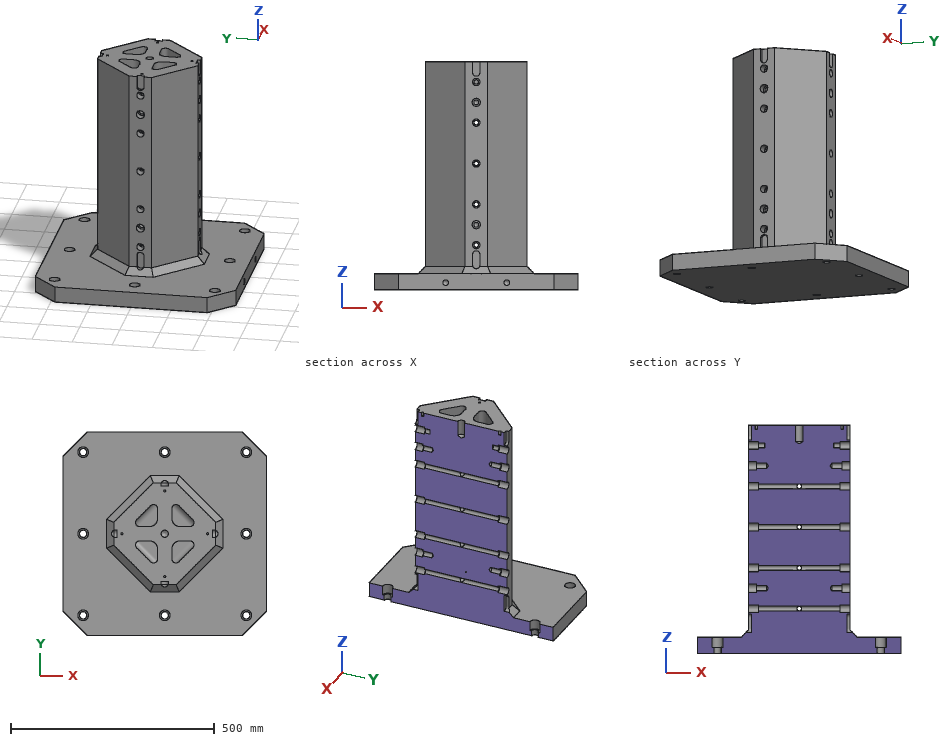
import cadquery as cq
import math

plate_side = 500
plate_height = 40
plate_corner_cut = 60
plate_hole_pitch = 200
plate_hole_diameter = 17.5
plate_counterbore_diameter = 26
plate_counterbore_depth = 25

edge_hole_offset = 75
edge_hole_height = 18
edge_hole_diameter = 14
edge_hole_depth = 40

total_height = 560
column_width = 250
column_half = column_width / 2
column_face_width = 56
foot_height = 17.5
foot_slope = 45
octagon_turn = 45

hole_spacing = 50
mid_height = 310
stepped_offsets = [2 * hole_spacing, 0, -2 * hole_spacing, -4 * hole_spacing]
threaded_offsets = [3 * hole_spacing, -3 * hole_spacing]
blind_height = mid_height + 4 * hole_spacing
bush_diameter = 18
bush_depth = 25
core_diameter = 10.8
blind_depth = 40
threaded_counterbore_diameter = 20
threaded_counterbore_depth = 20
threaded_core_diameter = 12
threaded_core_depth = 45
slot_width = 18
slot_depth = 7.5
top_slot_bottom = 524
foot_slot_bottom = 52
foot_slot_top = 96

center_hole_diameter = 17.5
center_hole_depth = 40
pin_hole_diameter = 5
pin_hole_radius = 105
pin_hole_depth = 10
rib_half_width = 17.5
pocket_wall_distance = 73
pocket_floor_height = plate_height
pocket_inner_radius = 20
pocket_outer_radius = 10
pocket_floor_radius = 15

drill_point_angle = 118
face_angles = [0, 90, 180, 270]


def cut_corner_square(side, corner_cut):
    """Square outline with all four corners cut at 45 degrees."""
    half = side / 2
    inner = half - corner_cut
    return [
        (half, -inner), (half, inner), (inner, half), (-inner, half),
        (-half, inner), (-half, -inner), (-inner, -half), (inner, -half),
    ]


def around_column(cutter):
    """Four copies of a cutter, one for each narrow column face."""
    copies = cq.Workplane("XY")
    for angle in face_angles:
        copies = copies.add(cutter.rotate((0, 0, 0), (0, 0, 1), angle))
    return copies.combine()


def bore(diameter, depth, position, direction):
    """Flat-bottomed cylinder running from a position along a direction."""
    start = cq.Vector(*position)
    return cq.Workplane(cq.Solid.makeCylinder(diameter / 2, depth, start, cq.Vector(*direction)))


def drilled(diameter, depth, position, direction):
    """Blind hole whose full-diameter length ends in a conical drill point."""
    start = cq.Vector(*position)
    axis = cq.Vector(*direction)
    point_length = diameter / 2 / math.tan(math.radians(drill_point_angle / 2))
    point = cq.Solid.makeCone(diameter / 2, 0, point_length, start + axis * depth, axis)
    return bore(diameter, depth, position, direction).union(cq.Workplane(point))


def make_plate():
    outline = cut_corner_square(plate_side, plate_corner_cut)
    plate = cq.Workplane("XY").polyline(outline).close().extrude(plate_height)
    hole_places = []
    for x_step in (-1, 0, 1):
        for y_step in (-1, 0, 1):
            if (x_step, y_step) != (0, 0):
                hole_places.append((x_step * plate_hole_pitch, y_step * plate_hole_pitch))
    plate = (
        plate.faces(">Z").workplane(origin=(0, 0, plate_height)).pushPoints(hole_places)
        .cboreHole(plate_hole_diameter, plate_counterbore_diameter, plate_counterbore_depth)
    )
    for side in (-1, 1):
        position = (side * edge_hole_offset, -plate_side / 2, edge_hole_height)
        plate = plate.cut(drilled(edge_hole_diameter, edge_hole_depth, position, (0, 1, 0)))
    return plate


def make_column():
    corner_cut = (column_width - column_face_width) / 2
    outline = cut_corner_square(column_width, corner_cut)
    column = (
        cq.Workplane("XY").workplane(offset=plate_height)
        .polyline(outline).close().extrude(total_height - plate_height)
    )

    spread = foot_height * math.tan(math.radians(foot_slope))
    foot_width = column_width + 2 * spread
    foot_face_width = column_face_width + 2 * spread * math.tan(math.radians(octagon_turn / 2))
    foot_outline = cut_corner_square(foot_width, (foot_width - foot_face_width) / 2)
    foot = (
        cq.Workplane("XY").workplane(offset=plate_height)
        .polyline(foot_outline).close()
        .workplane(offset=foot_height)
        .polyline(outline).close().loft(ruled=True)
    )
    return column.union(foot)


def front_slot(bottom, top):
    """Round-ended vertical slot cut into the front face and whatever stands before it."""
    slot_floor = column_half - slot_depth
    cut_length = plate_side / 2 - slot_floor
    return (
        cq.Workplane("XZ", origin=(0, -slot_floor, (bottom + top) / 2))
        .slot2D(top - bottom, slot_width, 90).extrude(cut_length)
    )


def make_face_features():
    """Holes and slots of the front face, repeated on the other narrow faces."""
    inward = (0, 1, 0)
    place = (0, -column_half, blind_height)
    cutter = bore(bush_diameter, bush_depth, place, inward)
    cutter = cutter.union(bore(core_diameter, blind_depth, place, inward))

    for offset in stepped_offsets:
        place = (0, -column_half, mid_height + offset)
        cutter = cutter.union(bore(bush_diameter, bush_depth, place, inward))
        cutter = cutter.union(bore(core_diameter, column_half, place, inward))

    for offset in threaded_offsets:
        place = (0, -column_half, mid_height + offset)
        cutter = cutter.union(
            bore(threaded_counterbore_diameter, threaded_counterbore_depth, place, inward)
        )
        cutter = cutter.union(drilled(threaded_core_diameter, threaded_core_depth, place, inward))

    cutter = cutter.union(front_slot(top_slot_bottom, total_height + slot_width))
    cutter = cutter.union(front_slot(foot_slot_bottom, foot_slot_top))
    return around_column(cutter)


def make_pocket():
    """Upright triangular pocket with rounded corners, between two ribs and a sloping outer wall."""
    near = rib_half_width
    wall_reach = pocket_wall_distance * math.sqrt(2)
    far = wall_reach - near
    pocket = (
        cq.Workplane("XY").workplane(offset=pocket_floor_height)
        .polyline([(near, near), (far, near), (near, far)]).close()
        .extrude(total_height - pocket_floor_height)
    )
    corners = [
        (near, near, pocket_inner_radius),
        (far, near, pocket_outer_radius),
        (near, far, pocket_outer_radius),
    ]
    middle_height = (total_height + pocket_floor_height) / 2
    for x, y, radius in corners:
        upright_edge = cq.selectors.NearestToPointSelector((x, y, middle_height))
        pocket = pocket.edges("|Z").edges(upright_edge).fillet(radius)
    return pocket


def make_pocket_floor_limit():
    """Block whose rounded lower edge shapes the pocket floor along the sloping outer wall."""
    wall = pocket_wall_distance
    ample_width = column_width
    block = (
        cq.Workplane("XY", origin=(wall / 2, 0, pocket_floor_height))
        .box(wall, ample_width, total_height - pocket_floor_height, centered=(True, True, False))
    )
    block = block.edges(">X and <Z").fillet(pocket_floor_radius)
    return block.rotate((0, 0, 0), (0, 0, 1), octagon_turn)


def make_top_features():
    """Lightening pockets, pin holes and the centre hole, all sunk from the column top."""
    downward = (0, 0, -1)
    pin_place = (pin_hole_radius, 0, total_height)
    pin_hole = bore(pin_hole_diameter, pin_hole_depth, pin_place, downward)
    pocket = make_pocket().intersect(make_pocket_floor_limit())
    center_hole = drilled(center_hole_diameter, center_hole_depth, (0, 0, total_height), downward)
    return around_column(pin_hole.union(pocket)).union(center_hole)


result = make_plate().union(make_column())
result = result.cut(make_face_features())
result = result.cut(make_top_features())